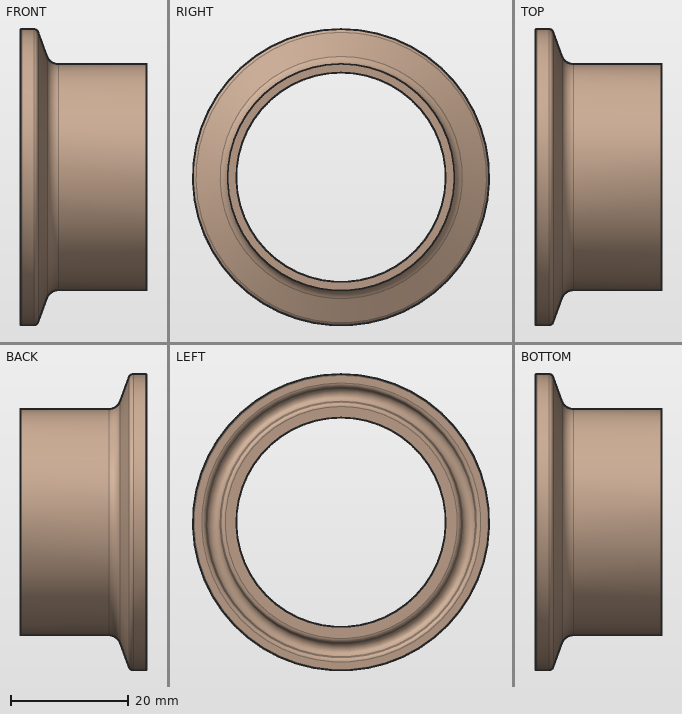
import cadquery as cq
import math

length = 21.5
flange_radius = 50.5 / 2
tube_radius = 38.6 / 2
bore_radius = 35.6 / 2

face_edge_round = 0.2
rim_thickness = 2.85
rear_cone_angle = 20
rim_round = 0.8
neck_round = 2.0

groove_centre_radius = 43.5 / 2
groove_depth = 1.6
groove_wall_angle = 67
groove_floor_round = 1.2
groove_lip_round = 0.8


def arc_offsets(radius, turn_angle):
    """Offsets of an arc's end and middle from its start, along and across its start tangent."""
    turn = math.radians(turn_angle)

    def offset(angle):
        return radius * math.sin(angle), radius * (1 - math.cos(angle))

    return offset(turn), offset(turn / 2)


def make_body():
    """Revolved flange and tube, with the rear cone blended into both."""
    turn_angle = 90 - rear_cone_angle
    tangent_ratio = math.tan(math.radians(turn_angle / 2))
    cone_run = (flange_radius - tube_radius) * math.tan(math.radians(rear_cone_angle))

    rim_start = rim_thickness - rim_round * tangent_ratio
    rim_end, rim_middle = arc_offsets(rim_round, turn_angle)
    neck_start = rim_thickness + cone_run + neck_round * tangent_ratio
    neck_end, neck_middle = arc_offsets(neck_round, turn_angle)

    profile = (
        cq.Workplane("XZ")
        .moveTo(0, bore_radius)
        .lineTo(0, flange_radius - face_edge_round)
        .radiusArc((face_edge_round, flange_radius), face_edge_round)
        .lineTo(rim_start, flange_radius)
        .threePointArc(
            (rim_start + rim_middle[0], flange_radius - rim_middle[1]),
            (rim_start + rim_end[0], flange_radius - rim_end[1]),
        )
        .lineTo(neck_start - neck_end[0], tube_radius + neck_end[1])
        .threePointArc(
            (neck_start - neck_middle[0], tube_radius + neck_middle[1]),
            (neck_start, tube_radius),
        )
        .lineTo(length, tube_radius)
        .lineTo(length, bore_radius)
        .close()
    )
    return profile.revolve(360, (0, 0, 0), (1, 0, 0))


def make_groove():
    """Ring with a round floor, sloping walls and rounded lips, to be cut from the sealing face."""
    floor_end, _ = arc_offsets(groove_floor_round, groove_wall_angle)
    lip_end, lip_middle = arc_offsets(groove_lip_round, groove_wall_angle)
    wall_depth = groove_depth - floor_end[1] - lip_end[1]
    wall_run = wall_depth / math.tan(math.radians(groove_wall_angle))
    half_width = floor_end[0] + wall_run + lip_end[0]
    inner = groove_centre_radius - half_width
    outer = groove_centre_radius + half_width

    profile = (
        cq.Workplane("XZ")
        .moveTo(0, inner)
        .threePointArc((lip_middle[1], inner + lip_middle[0]), (lip_end[1], inner + lip_end[0]))
        .lineTo(groove_depth - floor_end[1], groove_centre_radius - floor_end[0])
        .threePointArc(
            (groove_depth, groove_centre_radius),
            (groove_depth - floor_end[1], groove_centre_radius + floor_end[0]),
        )
        .lineTo(lip_end[1], outer - lip_end[0])
        .threePointArc((lip_middle[1], outer - lip_middle[0]), (0, outer))
        .close()
    )
    return profile.revolve(360, (0, 0, 0), (1, 0, 0))


result = make_body().cut(make_groove())